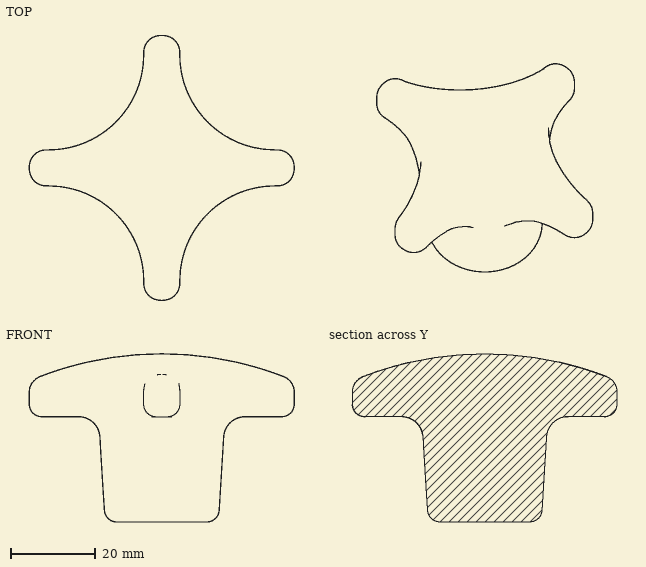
import cadquery as cq
import math

span = 63.0
total_height = 40.0
head_bottom = 25.0
arm_half_width = 4.3
scallop_center = 26.85
dome_radius = 80.0
tip_radius = 5.0
tip_corner_radius = 4.0
crown_edge_radius = 4.0
under_edge_radius = 3.0

hub_bottom_radius = 13.5
hub_taper = 3.5
hub_edge_radius = 3.0
neck_radius = 5.0

blank_margin = 5.0

scallop_radius = scallop_center - arm_half_width
scallop_near = scallop_center - scallop_radius / math.sqrt(2)
tip_reach = span / 2
blank_radius = tip_reach + blank_margin
tip_center = tip_reach - tip_radius
corner_offset = arm_half_width - tip_corner_radius
tip_corner_turn = math.asin(corner_offset / (tip_radius - tip_corner_radius))
corner_center = tip_center + (tip_radius - tip_corner_radius) * math.cos(tip_corner_turn)
corner_mid_turn = (tip_corner_turn + math.pi / 2) / 2
tip_corner_start = (
    tip_center + tip_radius * math.cos(tip_corner_turn),
    tip_radius * math.sin(tip_corner_turn),
)
tip_corner_mid = (
    corner_center + tip_corner_radius * math.cos(corner_mid_turn),
    corner_offset + tip_corner_radius * math.sin(corner_mid_turn),
)


def mirrored(point):
    """Swap X and Y: reflect a point about the diagonal of the first quadrant."""
    return (point[1], point[0])


def turned(point, quarter):
    """Turn an (x, y) point about the Z axis by a number of quarter turns."""
    x, y = point
    for _ in range(quarter):
        x, y = -y, x
    return (x, y)


def add_quarter(outline, quarter):
    """Draw one quarter of the star: arm tip, arm side, scallop and next arm side."""
    def at(point):
        return turned(point, quarter)

    arm_side = (corner_center, arm_half_width)
    scallop_start = (scallop_center, arm_half_width)
    return (
        outline.threePointArc(at((tip_reach, 0)), at(tip_corner_start))
        .threePointArc(at(tip_corner_mid), at(arm_side))
        .lineTo(*at(scallop_start))
        .threePointArc(at((scallop_near, scallop_near)), at(mirrored(scallop_start)))
        .lineTo(*at(mirrored(arm_side)))
        .threePointArc(at(mirrored(tip_corner_mid)), at(mirrored(tip_corner_start)))
    )


def star_outline():
    """Four rounded arms joined by concave quarter-circle scallops."""
    tip_start = (tip_corner_start[0], -tip_corner_start[1])
    outline = cq.Workplane("XY").moveTo(*tip_start)
    for quarter in range(4):
        outline = add_quarter(outline, quarter)
    return outline.close()


def turned_blank():
    """Solid of revolution: tapered hub, neck blend, flat underside and domed crown."""
    taper = math.radians(hub_taper)
    neck_center_z = head_bottom - neck_radius
    neck_start_z = neck_center_z + neck_radius * math.sin(taper)
    neck_start_r = hub_bottom_radius + neck_start_z * math.tan(taper)
    neck_center_r = neck_start_r + neck_radius * math.cos(taper)
    neck_mid_turn = (math.pi / 2 - taper) / 2 + taper
    neck_mid = (
        neck_center_r - neck_radius * math.cos(neck_mid_turn),
        neck_center_z + neck_radius * math.sin(neck_mid_turn),
    )
    rim_z = total_height - dome_radius + math.sqrt(dome_radius**2 - blank_radius**2)
    dome_mid_turn = math.asin(blank_radius / dome_radius) / 2
    dome_mid = (
        dome_radius * math.sin(dome_mid_turn),
        total_height - dome_radius + dome_radius * math.cos(dome_mid_turn),
    )
    profile = (
        cq.Workplane("XZ")
        .lineTo(hub_bottom_radius, 0)
        .lineTo(neck_start_r, neck_start_z)
        .threePointArc(neck_mid, (neck_center_r, head_bottom))
        .lineTo(blank_radius, head_bottom)
        .lineTo(blank_radius, rim_z)
        .threePointArc(dome_mid, (0, total_height))
        .close()
    )
    return profile.revolve(360, (0, 0, 0), (0, 1, 0))


def make_knob():
    """Trim the blank to the star outline and round its rims."""
    knob = turned_blank().intersect(star_outline().extrude(total_height))
    knob = knob.faces("%TORUS").edges("%BSPLINE").fillet(under_edge_radius)
    knob = knob.faces("%SPHERE").edges().fillet(crown_edge_radius)
    return knob.faces("<Z").edges().fillet(hub_edge_radius)


result = make_knob()